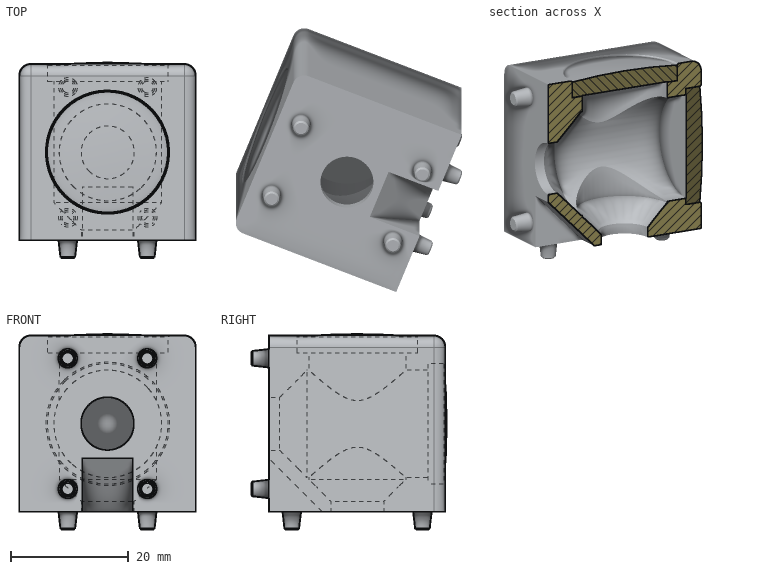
import cadquery as cq


CUBE_SIZE = 30.0
HALF_CUBE = CUBE_SIZE / 2
EDGE_RADIUS = 2.0

PORT_RADIUS = 4.5
PORT_WALL = 1.8
Z_BORE_RADIUS = 8.25
Y_BORE_RADIUS = 9.15
SEAT_DEPTH = 3.0
RIM_CHAMFER = 0.25

LENS_RADIUS = 10.25
DOME_RISE = 0.25
LENS_EDGE_DEPTH = RIM_CHAMFER

PIN_LENGTH = 3.0
PIN_BASE_RADIUS = 1.6
PIN_TIP_RADIUS = 1.25
PIN_TIP_CHAMFER = 0.25
PIN_SPACING_ACROSS = 13.5
PIN_SPACING_ALONG = 22.2

NOTCH_WIDTH = 8.6
NOTCH_DEPTH = 9.1


def turn_to_y(shape):
    """Turn a Z-channel feature so that its lens end points to +Y and its port end to -Y."""
    return shape.rotate((0, 0, 0), (1, 0, 0), -90)


def make_channel(bore_radius):
    """Space removed along Z, from the bottom up: port, cone, bore, lens seat and rim chamfer."""
    cone_bottom = -HALF_CUBE + PORT_WALL
    cone_top = cone_bottom + bore_radius - PORT_RADIUS
    seat_bottom = HALF_CUBE - SEAT_DEPTH
    return (
        cq.Workplane("XZ")
        .moveTo(0, -HALF_CUBE)
        .lineTo(PORT_RADIUS, -HALF_CUBE)
        .lineTo(PORT_RADIUS, cone_bottom)
        .lineTo(bore_radius, cone_top)
        .lineTo(bore_radius, seat_bottom)
        .lineTo(LENS_RADIUS, seat_bottom)
        .lineTo(LENS_RADIUS, HALF_CUBE - RIM_CHAMFER)
        .lineTo(LENS_RADIUS + RIM_CHAMFER, HALF_CUBE)
        .lineTo(0, HALF_CUBE)
        .close()
        .revolve(360, (0, 0, 0), (0, 1, 0))
    )


def make_pins():
    """Four tapered pins below the bottom face, with chamfered tips."""
    pin = (
        cq.Workplane("XY", origin=(0, 0, -HALF_CUBE))
        .circle(PIN_BASE_RADIUS)
        .workplane(offset=-PIN_LENGTH)
        .circle(PIN_TIP_RADIUS)
        .loft(ruled=True)
        .faces("<Z")
        .chamfer(PIN_TIP_CHAMFER)
        .val()
    )
    return (
        cq.Workplane("XY")
        .rarray(PIN_SPACING_ACROSS, PIN_SPACING_ALONG, 2, 2)
        .eachpoint(lambda place: pin.moved(place))
    )


def make_notch():
    """Triangular wedge along X that removes the middle of the lower front edge."""
    return (
        cq.Workplane("YZ")
        .moveTo(-HALF_CUBE, -HALF_CUBE)
        .lineTo(-HALF_CUBE + NOTCH_DEPTH, -HALF_CUBE)
        .lineTo(-HALF_CUBE, -HALF_CUBE + NOTCH_DEPTH)
        .close()
        .extrude(NOTCH_WIDTH / 2, both=True)
    )


def make_housing():
    """Cube with both channels and the notch cut out and pins on the bottom and front."""
    cube = cq.Workplane("XY").box(CUBE_SIZE, CUBE_SIZE, CUBE_SIZE)
    rounded_edges = "(>Z and (not <Y)) or (>Y and (not <Z))"
    cube = cube.edges(rounded_edges).fillet(EDGE_RADIUS)
    pins = make_pins()
    return (
        cube.cut(make_channel(Z_BORE_RADIUS))
        .cut(turn_to_y(make_channel(Y_BORE_RADIUS)))
        .cut(make_notch())
        .union(pins)
        .union(turn_to_y(pins))
    )


def make_lens():
    """Plano-convex lens that fills the seat at the top of the Z channel."""
    edge_height = HALF_CUBE - LENS_EDGE_DEPTH
    seat_bottom = HALF_CUBE - SEAT_DEPTH
    dome_top = HALF_CUBE + DOME_RISE
    sagitta = dome_top - edge_height
    dome_radius = (LENS_RADIUS**2 + sagitta**2) / (2 * sagitta)
    blank = (
        cq.Workplane("XY", origin=(0, 0, seat_bottom))
        .circle(LENS_RADIUS)
        .extrude(dome_top - seat_bottom)
    )
    dome = (
        cq.Workplane("YZ")
        .sphere(dome_radius)
        .translate((0, 0, dome_top - dome_radius))
    )
    return blank.intersect(dome)



housing = make_housing()
top_lens = make_lens()
back_lens = turn_to_y(make_lens())

result = cq.Compound.makeCompound([housing.val(), top_lens.val(), back_lens.val()])